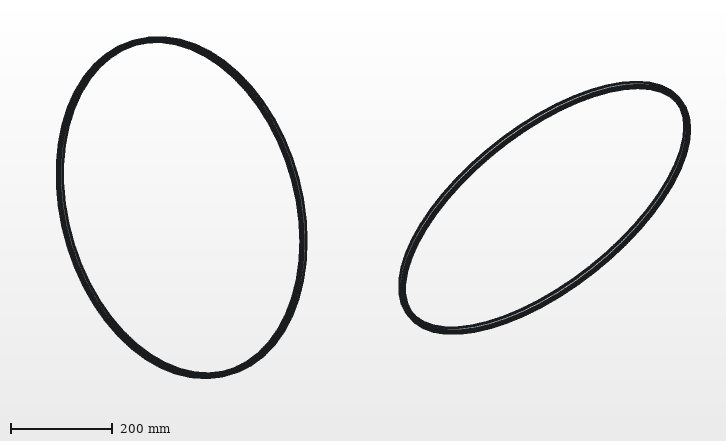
import cadquery as cq

outer_diameter = 681.0
inner_diameter = 665.5
width = 13.0

face_bevel_radial = 2.2
rim_bevel_axial = 3.0
knee_radial = 1.0
knee_axial = 0.95

outer_radius = outer_diameter / 2
inner_radius = inner_diameter / 2


def beveled_corner(rim_radius, radial_sign, axial_sign):
    """Three points running from the side face around one corner to the rim."""
    side = axial_sign * width / 2
    return [
        (rim_radius - radial_sign * face_bevel_radial, side),
        (rim_radius - radial_sign * knee_radial, side - axial_sign * knee_axial),
        (rim_radius, side - axial_sign * rim_bevel_axial),
    ]


section = (
    beveled_corner(outer_radius, 1, -1)
    + beveled_corner(outer_radius, 1, 1)[::-1]
    + beveled_corner(inner_radius, -1, 1)
    + beveled_corner(inner_radius, -1, -1)[::-1]
)

result = cq.Workplane("XY").polyline(section).close().revolve(360, (0, 0), (0, 1))